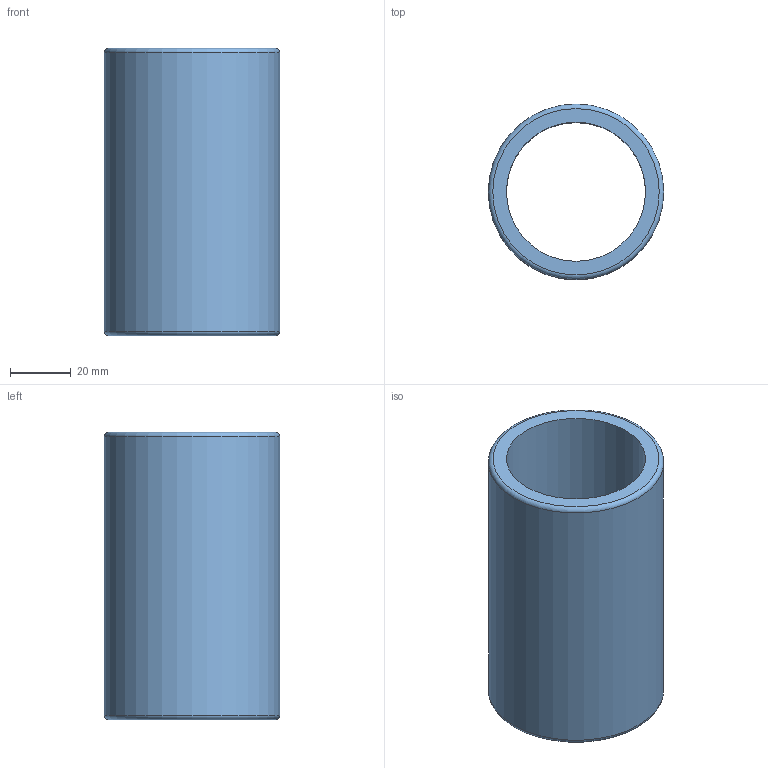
import cadquery as cq

outer_diameter = 58.0
bore_diameter = 46.0
length = 95.0
rim_radius = 1.5


def rounded_cylinder():
    """Solid outer body with both end rims rounded."""
    body = cq.Workplane("XY").circle(outer_diameter / 2).extrude(length)
    return body.faces("<Z or >Z").edges().fillet(rim_radius)


def bore():
    """Cylinder removed along the full length."""
    return cq.Workplane("XY").circle(bore_diameter / 2).extrude(length)


result = rounded_cylinder().cut(bore())